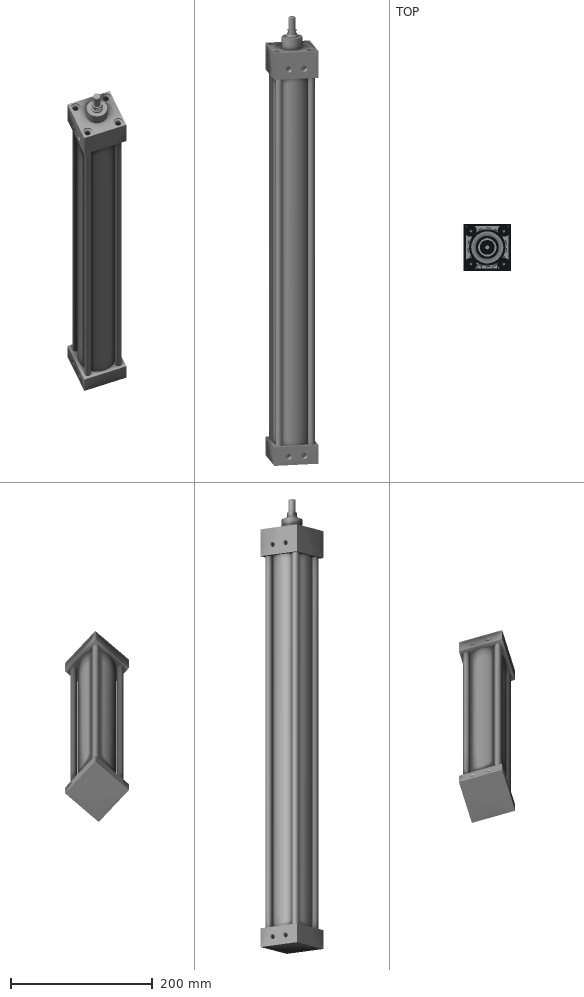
import cadquery as cq
import math

TOTAL_HEIGHT = 644.5
CAP_SIDE = 64.0

BASE_HEIGHT = 27.0
TUBE_LENGTH = 535.0
HEAD_HEIGHT = 38.5
TUBE_DIAMETER = 55.0
TIE_ROD_DIAMETER = 9.5
TIE_ROD_PITCH = 46.5
TIE_ROD_POINTS = [
    (x * TIE_ROD_PITCH / 2, y * TIE_ROD_PITCH / 2)
    for x in (-1, 1)
    for y in (-1, 1)
]

BOSS_DIAMETER = 29.0
BOSS_HEIGHT = 15.5
WIPER_DIAMETER = 17.5
WIPER_CHAMFER = 1.0
WIPER_HEIGHT = 3.0

HEAD_BOTTOM = BASE_HEIGHT + TUBE_LENGTH
HEAD_TOP = HEAD_BOTTOM + HEAD_HEIGHT
BOSS_TOP = HEAD_TOP + BOSS_HEIGHT
WIPER_TOP = BOSS_TOP + WIPER_HEIGHT

RECESS_DIAMETER = 48.5
RECESS_DEPTH = 0.5

SCREW_RECESS_DIAMETER = 13.5
SCREW_RECESS_DEPTH = 2.0
SCREW_HOLE_DIAMETER = 8.0
SCREW_HOLE_DEPTH = 13.0
SCREW_HOLE_CHAMFER = 1.0

PORT_PITCH = 22.5
PORT_DIAMETER = 6.0
PORT_DEPTH = 9.5
PORT_CHAMFER = 1.0
BASE_PORT_Z = 12.0
HEAD_PORT_Z = HEAD_BOTTOM + 14.0

DRILL_TIP_ANGLE = 118

ROD_DIAMETER = 13.5
ROD_END_DIAMETER = 10.0
ROD_END_LENGTH = 19.0
ROD_END_CHAMFER = 0.5
FLATS_WIDTH = 10.0
FLATS_LENGTH = 4.0
SHOULDER_THICKNESS = 0.5

SHOULDER_Z = TOTAL_HEIGHT - ROD_END_LENGTH
ROD_BOTTOM = HEAD_BOTTOM

DOWN = cq.Vector(0, 0, -1)
INWARD = cq.Vector(0, 1, 0)


def cylinder(diameter, bottom, top):
    """Vertical cylinder on the Z axis."""
    return cq.Workplane("XY", origin=(0, 0, bottom)).circle(diameter / 2).extrude(top - bottom)


def block(width, depth, bottom, top):
    """Rectangular block centred on the Z axis."""
    return cq.Workplane("XY", origin=(0, 0, bottom)).rect(width, depth).extrude(top - bottom)


def at_tie_rods(diameter, bottom, top):
    """Four vertical cylinders at the tie rod positions."""
    return (
        cq.Workplane("XY", origin=(0, 0, bottom))
        .pushPoints(TIE_ROD_POINTS)
        .circle(diameter / 2)
        .extrude(top - bottom)
    )


def cut_tapped_hole(body, mouth, direction, diameter, depth, chamfer):
    """Cut a blind hole with a chamfered mouth and a conical drill tip."""
    radius = diameter / 2
    tip_length = radius / math.tan(math.radians(DRILL_TIP_ANGLE / 2))
    entry = cq.Solid.makeCone(radius + chamfer, radius, chamfer, mouth, direction)
    shaft = cq.Solid.makeCylinder(radius, depth, mouth, direction)
    tip = cq.Solid.makeCone(radius, 0, tip_length, mouth + direction * depth, direction)
    return body.cut(cq.Workplane(entry.fuse(shaft, tip)))


def wiper():
    """Chamfered ring on the boss, where the rod comes out."""
    return cylinder(WIPER_DIAMETER, BOSS_TOP, WIPER_TOP).faces(">Z").chamfer(WIPER_CHAMFER)


def make_housing():
    housing = block(CAP_SIDE, CAP_SIDE, 0, BASE_HEIGHT)
    housing = housing.union(block(CAP_SIDE, CAP_SIDE, HEAD_BOTTOM, HEAD_TOP))
    housing = housing.union(cylinder(TUBE_DIAMETER, BASE_HEIGHT, HEAD_BOTTOM))
    housing = housing.union(at_tie_rods(TIE_ROD_DIAMETER, BASE_HEIGHT, HEAD_BOTTOM))

    housing = housing.cut(cylinder(RECESS_DIAMETER, HEAD_TOP - RECESS_DEPTH, HEAD_TOP))
    housing = housing.union(cylinder(BOSS_DIAMETER, HEAD_TOP - RECESS_DEPTH, BOSS_TOP))
    housing = housing.union(wiper())

    recess_floor = HEAD_TOP - SCREW_RECESS_DEPTH
    housing = housing.cut(at_tie_rods(SCREW_RECESS_DIAMETER, recess_floor, HEAD_TOP))
    for x, y in TIE_ROD_POINTS:
        mouth = cq.Vector(x, y, recess_floor)
        housing = cut_tapped_hole(
            housing, mouth, DOWN, SCREW_HOLE_DIAMETER, SCREW_HOLE_DEPTH, SCREW_HOLE_CHAMFER
        )

    for z in (BASE_PORT_Z, HEAD_PORT_Z):
        for x in (-PORT_PITCH / 2, PORT_PITCH / 2):
            mouth = cq.Vector(x, -CAP_SIDE / 2, z)
            housing = cut_tapped_hole(housing, mouth, INWARD, PORT_DIAMETER, PORT_DEPTH, PORT_CHAMFER)

    return housing.cut(cylinder(ROD_DIAMETER, ROD_BOTTOM, WIPER_TOP))


def make_rod():
    shank = cylinder(ROD_DIAMETER, ROD_BOTTOM, SHOULDER_Z)

    flats_top = SHOULDER_Z - SHOULDER_THICKNESS
    flats_bottom = flats_top - FLATS_LENGTH
    slab = block(ROD_DIAMETER, ROD_DIAMETER, flats_bottom, flats_top)
    core = block(FLATS_WIDTH, ROD_DIAMETER, flats_bottom, flats_top)
    shank = shank.cut(slab.cut(core))

    end = cylinder(ROD_END_DIAMETER, SHOULDER_Z, TOTAL_HEIGHT)
    return shank.union(end.faces(">Z").chamfer(ROD_END_CHAMFER))


housing = make_housing()
rod = make_rod()
result = cq.Compound.makeCompound([housing.val(), rod.val()])